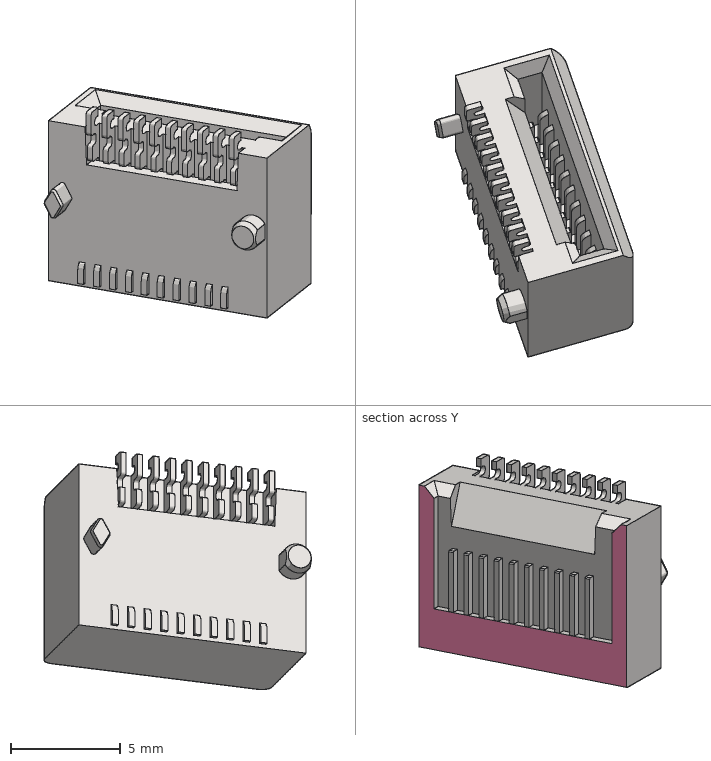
import cadquery as cq
import math

body_width = 11.0
body_depth = 5.17
body_height = 7.85
back_corner_radius = 0.5
back_slope_depth = 0.6
back_slope_height = 1.0

slot_width = 9.37
slot_front = 2.74
slot_back = 3.89
slot_lead_in = 0.51
slot_floor = 2.0

contact_count = 10
pitch = 0.8
contact_width = 0.25
foot_width = 0.3
upper_row_x = pitch / 4
lower_row_x = -pitch / 4

window_floor = 6.01
window_depth = 0.7
window_top_width = 7.72
window_floor_width = 7.57
relief_front = 1.82

tail_reach = 0.18
tail_height = 8.67
hook_end = 0.57
hook_thickness = 0.41
hook_neck_radius = (tail_height - hook_thickness - body_height) / 2
hook_arc_y = 0.41
hook_bottom = 7.51
stem_front = 0.35
bend_radius = 0.15
tab_top = 7.01
tab_bottom = 6.2
tab_reach = 0.04

foot_bottom = 0.19
foot_flat_top = 0.8
foot_top = 1.19

contact_top = 4.95
front_contact_rise = 0.35
front_contact_chamfer = 0.05
back_contact_rise = 0.43
back_contact_bevel_depth = 0.15
back_contact_bevel_drop = 0.08
back_contact_crest_drop = 0.52

post_length = 1.1
post_z = 4.24
post_x = 4.8
round_post_diameter = 1.41
round_post_width = 1.2
round_post_tip_length = 0.28
round_post_tip_inset = 0.15
diamond_width = 0.99
diamond_corner_radius = 0.15
diamond_tip_length = 0.15
diamond_tip_inset = 0.07


def wedge_prism(z_low, width_low, width_high, y_low, y_high):
    """Block up to the housing top whose sides spread from width_low to width_high."""
    return (
        cq.Workplane("XZ", origin=(upper_row_x, y_low, 0))
        .polyline([
            (-width_low / 2, z_low),
            (width_low / 2, z_low),
            (width_high / 2, body_height),
            (-width_high / 2, body_height),
        ])
        .close()
        .extrude(y_low - y_high)
    )


def profile_at(x, width):
    """Start a YZ profile for a strip of the given width centred on x."""
    return cq.Workplane("YZ", origin=(x - width / 2, 0, 0))


def row_positions(row_x):
    """X positions of the contacts in a row centred on row_x."""
    return [row_x + (i - (contact_count - 1) / 2) * pitch for i in range(contact_count)]


def make_housing():
    block = (
        cq.Workplane("XY")
        .box(body_width, body_depth, body_height, centered=(True, False, False))
        .edges("|Z and >Y")
        .fillet(back_corner_radius)
    )
    back_slope = (
        profile_at(0, body_width)
        .polyline([
            (body_depth, body_height - back_slope_height),
            (body_depth, body_height),
            (body_depth - back_slope_depth, body_height),
        ])
        .close()
        .extrude(body_width)
    )
    return block.cut(back_slope)


def make_slot():
    slot_depth = slot_back - slot_front
    slot_middle = (slot_front + slot_back) / 2
    shaft = (
        cq.Workplane("XY", origin=(0, slot_middle, slot_floor))
        .rect(slot_width, slot_depth)
        .extrude(body_height - slot_floor)
    )
    lead_in = (
        cq.Workplane("XY", origin=(0, slot_middle, body_height))
        .rect(slot_width + 2 * slot_lead_in, slot_depth + 2 * slot_lead_in)
        .workplane(offset=-slot_lead_in)
        .rect(slot_width, slot_depth)
        .loft(ruled=True)
    )
    return shaft.union(lead_in)


def make_relief():
    """Sloped cut that lowers the front slot wall down to the window floor level."""
    slope = (
        profile_at(upper_row_x, window_top_width)
        .polyline([
            (relief_front, body_height),
            (slot_front, body_height),
            (slot_front, window_floor),
        ])
        .close()
        .extrude(window_top_width)
    )
    sides = wedge_prism(window_floor, window_floor_width, window_top_width, relief_front, slot_front)
    return slope.intersect(sides)


def make_upper_tail(x):
    wall = window_depth
    arc_offset = bend_radius * (1 - math.sqrt(0.5))
    strip = (
        profile_at(x, contact_width)
        .moveTo(wall, body_height)
        .lineTo(hook_arc_y, body_height)
        .threePointArc(
            (hook_arc_y - hook_neck_radius, body_height + hook_neck_radius),
            (hook_arc_y, body_height + 2 * hook_neck_radius),
        )
        .lineTo(hook_end, tail_height - hook_thickness)
        .lineTo(hook_end, tail_height)
        .lineTo(-tail_reach, tail_height)
        .lineTo(-tail_reach, hook_bottom)
        .lineTo(stem_front, hook_bottom)
        .lineTo(stem_front, tab_top)
        .lineTo(-tab_reach, tab_top)
        .lineTo(-tab_reach, tab_bottom)
        .lineTo(wall - bend_radius, tab_bottom)
        .threePointArc(
            (wall - arc_offset, tab_bottom - arc_offset),
            (wall, tab_bottom - bend_radius),
        )
        .close()
        .extrude(contact_width)
    )
    corners = [
        (-tail_reach, tail_height),
        (-tail_reach, hook_bottom),
        (stem_front, hook_bottom),
        (stem_front, tab_top),
        (-tab_reach, tab_top),
        (-tab_reach, tab_bottom),
    ]
    for y, z in corners:
        strip = strip.edges(cq.selectors.NearestToPointSelector((x, y, z))).fillet(bend_radius)
    return strip


def make_foot(x):
    rise = foot_top - foot_flat_top
    radius = (tail_reach**2 + rise**2) / (2 * tail_reach)
    half_angle = math.asin(rise / radius) / 2
    arc_middle = (
        radius - tail_reach - radius * math.cos(half_angle),
        foot_flat_top + radius * math.sin(half_angle),
    )
    return (
        profile_at(x, foot_width)
        .moveTo(0, foot_bottom)
        .lineTo(-tail_reach, foot_bottom)
        .lineTo(-tail_reach, foot_flat_top)
        .threePointArc(arc_middle, (0, foot_top))
        .close()
        .extrude(foot_width)
    )


def make_front_contact(x):
    crest = slot_front + front_contact_rise
    return (
        profile_at(x, contact_width)
        .polyline([
            (slot_front, slot_floor),
            (crest, slot_floor),
            (crest, contact_top - front_contact_chamfer),
            (crest - front_contact_chamfer, contact_top),
            (slot_front, contact_top),
        ])
        .close()
        .extrude(contact_width)
    )


def make_back_contact(x):
    crest = slot_back - back_contact_rise
    bevel_end = (slot_back - back_contact_bevel_depth, contact_top - back_contact_bevel_drop)
    return (
        profile_at(x, contact_width)
        .moveTo(slot_back, slot_floor)
        .lineTo(slot_back, contact_top)
        .lineTo(*bevel_end)
        .tangentArcPoint((crest, contact_top - back_contact_crest_drop), relative=False)
        .lineTo(crest, slot_floor)
        .close()
        .extrude(contact_width)
    )


def make_round_post():
    radius = round_post_diameter / 2
    shank = post_length - round_post_tip_length
    turned = (
        cq.Workplane("XY")
        .polyline([
            (0, 0),
            (radius, 0),
            (radius, -shank),
            (radius - round_post_tip_inset, -post_length),
            (0, -post_length),
        ])
        .close()
        .revolve(360, (0, 0, 0), (0, 1, 0))
    )
    flats = cq.Workplane("XY").box(round_post_width, 2 * post_length, round_post_diameter)
    return turned.intersect(flats).translate((post_x, 0, post_z))


def make_diamond_post():
    """Rhombic post with 60 degree top and bottom corners and a tapered tip."""
    diamond_height = diamond_width * math.sqrt(3)
    shank = post_length - diamond_tip_length
    taper = math.degrees(math.atan(diamond_tip_inset / diamond_tip_length))
    post = (
        cq.Workplane("XZ", origin=(-post_x, 0, post_z))
        .polyline([
            (diamond_width / 2, 0),
            (0, diamond_height / 2),
            (-diamond_width / 2, 0),
            (0, -diamond_height / 2),
        ])
        .close()
        .extrude(shank)
        .edges("|Y")
        .fillet(diamond_corner_radius)
    )
    tip = post.faces("<Y").wires().toPending().workplane().extrude(
        diamond_tip_length, combine=False, taper=taper
    )
    return post.union(tip)


window = wedge_prism(window_floor, window_floor_width, window_top_width, 0, window_depth)
result = make_housing().cut(make_slot()).cut(make_relief()).cut(window)

for x in row_positions(upper_row_x):
    result = result.union(make_upper_tail(x)).union(make_front_contact(x))
for x in row_positions(lower_row_x):
    result = result.union(make_foot(x)).union(make_back_contact(x))

result = result.union(make_round_post()).union(make_diamond_post())